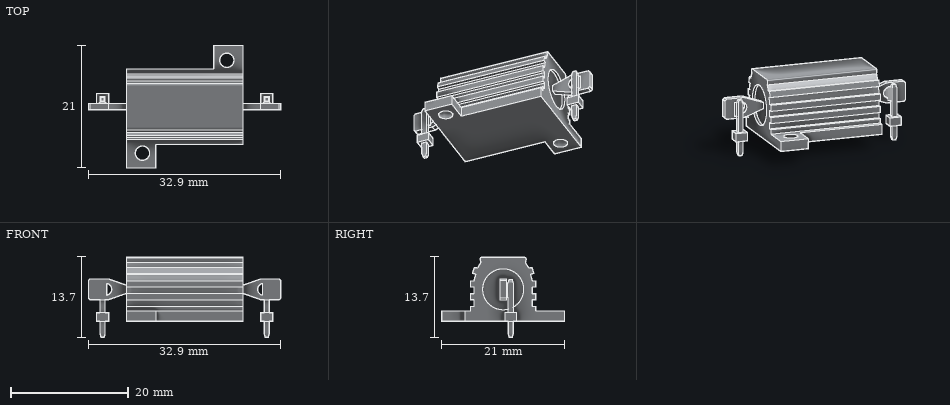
import cadquery as cq
import math

total_length = 32.9
total_width = 21.0
total_height = 13.7
body_length = 19.95
body_height = 10.95

base_width = 12.95
base_thickness = 1.78
foot_length = 5.05
foot_hole_diameter = 2.4
foot_hole_x = 7.2
foot_hole_y = 7.93

rib_half_width = 5.6
groove_half_width = 5.0
rib_height = 1.1
lowest_groove_z = 2.55
straight_groove_count = 2
leaning_rib_root_low = (4.7, 8.03)
leaning_rib_tip_low = (5.25, 8.2)
leaning_rib_tip_high = (4.95, 9.2)
leaning_rib_root_high = (4.38, 9.1)

top_half_width = 3.95
top_corner_radius = 0.35
undercut_half_width = 3.8
undercut_lean = math.radians(15)

corner_centre_y = top_half_width - top_corner_radius
corner_centre_z = body_height - top_corner_radius
corner_end_y = corner_centre_y + top_corner_radius * math.cos(undercut_lean)
corner_end_z = corner_centre_z - top_corner_radius * math.sin(undercut_lean)
undercut_rise = (corner_end_y - undercut_half_width) / math.tan(undercut_lean)

axis_z = 5.45
recess_diameter = 7.0
recess_depth = 0.5

tab_thickness = 1.12
tab_height = 3.6
tab_neck_height = 1.45
tab_taper_x = 13.0
tab_corner_chamfer = 0.3
tab_hole_diameter = 2.0
tab_hole_x = 13.5

pin_x = 14.0
pin_y = 1.28
pin_width = 0.9
pin_tip_width = 0.55
pin_tip_length = 0.6
pin_bottom_z = body_height - total_height
pin_top_z = 7.15
collar_length = 2.1
collar_width = 2.0
collar_height = 1.48
weld_bottom_z = 4.08
weld_half_length = 0.72
weld_depth = 0.2


def body_section():
    """Corners of the +Y half of the body outline, from the base up to the rounded top corner."""
    points = [(base_width / 2, 0), (base_width / 2, base_thickness), (rib_half_width, base_thickness)]
    for groove in range(straight_groove_count):
        groove_bottom = lowest_groove_z + groove * 2 * rib_height
        groove_top = groove_bottom + rib_height
        points += [
            (rib_half_width, groove_bottom),
            (groove_half_width, groove_bottom),
            (groove_half_width, groove_top),
            (rib_half_width, groove_top),
        ]
    straight_ribs_top = lowest_groove_z + 2 * straight_groove_count * rib_height
    points += [
        (rib_half_width, straight_ribs_top),
        (groove_half_width, straight_ribs_top),
        leaning_rib_root_low,
        leaning_rib_tip_low,
        leaning_rib_tip_high,
        leaning_rib_root_high,
        (undercut_half_width, corner_end_z - undercut_rise),
        (corner_end_y, corner_end_z),
    ]
    return points


def make_body():
    """Finned body of constant section along X, with its narrow base plate."""
    right_side = body_section()
    left_side = [(-y, z) for y, z in reversed(right_side)]
    mid_y = corner_centre_y + top_corner_radius * math.cos(math.pi / 4)
    mid_z = corner_centre_z + top_corner_radius * math.sin(math.pi / 4)
    outline = (
        cq.Workplane("YZ")
        .polyline(right_side)
        .threePointArc((mid_y, mid_z), (corner_centre_y, body_height))
        .lineTo(-corner_centre_y, body_height)
        .threePointArc((-mid_y, mid_z), left_side[0])
    )
    for point in left_side[1:]:
        outline = outline.lineTo(*point)
    return outline.close().extrude(body_length / 2, both=True)


def make_foot(side):
    """Foot at one corner: side -1 is the -X, -Y corner and +1 the +X, +Y corner."""
    foot_width = total_width / 2
    return (
        cq.Workplane("XY")
        .center(side * (body_length - foot_length) / 2, side * foot_width / 2)
        .rect(foot_length, foot_width)
        .extrude(base_thickness)
    )


def make_foot_holes():
    """One screw hole through each foot."""
    return (
        cq.Workplane("XY")
        .pushPoints([(-foot_hole_x, -foot_hole_y), (foot_hole_x, foot_hole_y)])
        .circle(foot_hole_diameter / 2)
        .extrude(base_thickness)
    )


def make_recess():
    """Recess in the +X end face."""
    return (
        cq.Workplane("YZ", origin=(body_length / 2 - recess_depth, 0, axis_z))
        .circle(recess_diameter / 2)
        .extrude(recess_depth)
    )


def make_tab():
    """Tab at the +X end, its tapered neck reaching down to the recess floor."""
    tip_x = total_length / 2
    face_x = body_length / 2
    floor_x = face_x - recess_depth
    half = tab_height / 2
    taper = (tab_height - tab_neck_height) / 2 / (tab_taper_x - face_x)
    floor_half = tab_neck_height / 2 - taper * recess_depth
    upper = [
        (floor_x, floor_half),
        (tab_taper_x, half),
        (tip_x - tab_corner_chamfer, half),
        (tip_x, half - tab_corner_chamfer),
    ]
    lower = [(x, -z) for x, z in reversed(upper)]
    plane = cq.Workplane("XZ", origin=(0, 0, axis_z))
    plate = plane.polyline(upper + lower).close().extrude(tab_thickness / 2, both=True)
    hole = plane.center(tab_hole_x, 0).circle(tab_hole_diameter / 2).extrude(tab_thickness, both=True)
    return plate.cut(hole)


def make_pin_tip(base_z, end_z):
    """Pyramid-shaped pin end running from base_z to end_z."""
    return (
        cq.Workplane("XY", origin=(pin_x, pin_y, base_z))
        .rect(pin_width, pin_width)
        .workplane(offset=end_z - base_z)
        .rect(pin_tip_width, pin_tip_width)
        .loft(ruled=True)
    )


def make_pin():
    """Square pin at the +X end, with its collar and the weld that holds it in the tab hole."""
    shank_bottom_z = pin_bottom_z + pin_tip_length
    shank_top_z = pin_top_z - pin_tip_length
    shank = (
        cq.Workplane("XY", origin=(pin_x, pin_y, shank_bottom_z))
        .rect(pin_width, pin_width)
        .extrude(shank_top_z - shank_bottom_z)
    )
    collar = (
        cq.Workplane("XY", origin=(pin_x, pin_y, 0))
        .rect(collar_length, collar_width)
        .extrude(collar_height)
    )
    tab_face_y = tab_thickness / 2
    half_pin = pin_width / 2
    weld_side = [
        (half_pin, pin_y),
        (half_pin, tab_face_y + weld_depth),
        (weld_half_length, tab_face_y),
        (weld_half_length, -tab_face_y),
    ]
    weld = (
        cq.Workplane("XY", origin=(pin_x, 0, weld_bottom_z))
        .polyline(weld_side + [(-x, y) for x, y in reversed(weld_side)])
        .close()
        .extrude(shank_top_z - weld_bottom_z)
    )
    return (
        shank.union(collar)
        .union(weld)
        .union(make_pin_tip(shank_bottom_z, pin_bottom_z))
        .union(make_pin_tip(shank_top_z, pin_top_z))
    )


recess = make_recess()
terminal = make_tab().union(make_pin())

result = make_body().union(make_foot(-1)).union(make_foot(1)).cut(make_foot_holes())
result = result.cut(recess).cut(recess.mirror("YZ"))
result = result.union(terminal).union(terminal.mirror("YZ"))